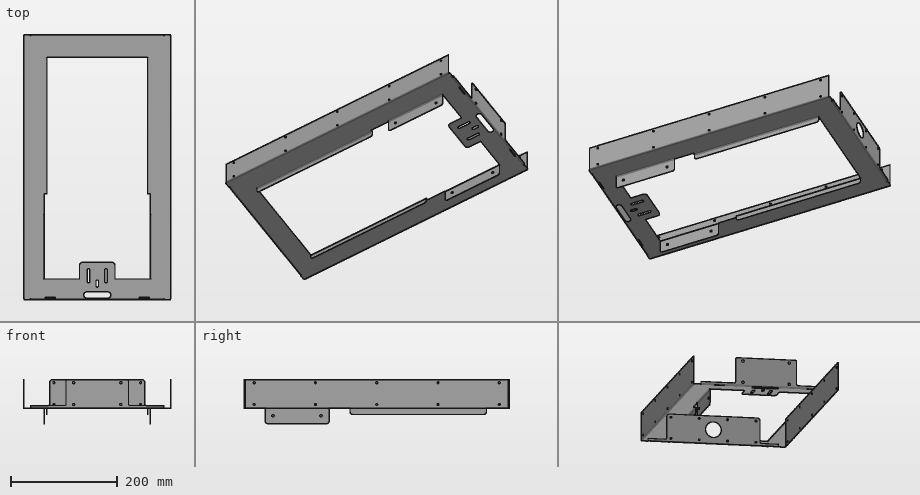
import cadquery as cq

sheet = 1.0
bend_inner = 0.6
bend_outer = bend_inner + sheet

width = 278.0
length = 498.0
wall_height = 54.5
total_height = 83.0
half_width = width / 2
half_length = length / 2

wall_end_gap = 2.0
wall_hole_diameter = 3.25
wall_hole_pitch = 115.0
wall_hole_count = 5

hole_edge = 6.0
hole_row_spacing = 41.0
upper_row = wall_height - hole_edge
lower_row = upper_row - hole_row_spacing
hole_rows = (lower_row, upper_row)

lip_width = 250.0
lip_height = 5.5
lip_root_radius = 3.0
relief_width = 0.5
relief_depth = 2.25
front_panel_width = 117.0
front_panel_radius = 3.0
front_hole_diameter = 4.25
front_hole_x = 44.5
back_panel_width = 179.0
back_panel_radius = 5.5
back_hole_diameter = 3.25
back_hole_pitch = 54.5
back_hole_count = 4
cable_hole_diameter = 30.0
cable_hole_z = 28.0

opening_back = 206.0
opening_step = -50.5
opening_front = -209.5
narrow_half_width = 94.0
wide_half_width = 99.0

shallow_depth = 11.5
deep_depth = total_height - wall_height
deep_flange_back = -89.0
flange_radius = 5.0
deep_hole_diameter = 4.25
deep_hole_z = -14.0
deep_hole_places = (-104.5, -194.5)

tab_width = 66.5
tab_end = -178.5
tab_radius = 6.0
slot_width = 4.5
long_slot_length = 26.5
long_slot_x = 16.5
long_slot_y = -204.0
short_slot_length = 13.5
short_slot_y = -218.5
handle_length = 51.0
handle_width = 11.5
handle_y = -240.0

floor_slot_length = 19.0
floor_slot_width = 2.0
floor_slot_x = 88.5
floor_slot_y = -245.5


def block(x_range, y_range, z_range):
    """Box spanning the given (low, high) ranges."""
    (x0, x1), (y0, y1), (z0, z1) = x_range, y_range, z_range
    return cq.Workplane("XY").box(x1 - x0, y1 - y0, z1 - z0, centered=False).translate((x0, y0, z0))


def bent_strip(height, strip_length):
    """Upright sheet whose outer face is X = 0, bent into the floor at Z = 0; it runs along Y from 0."""
    profile = (
        cq.Workplane("XZ")
        .moveTo(-bend_outer, 0)
        .radiusArc((0, bend_outer), -bend_outer)
        .lineTo(0, height)
        .lineTo(-sheet, height)
        .lineTo(-sheet, bend_outer)
        .radiusArc((-bend_outer, sheet), bend_inner)
        .close()
    )
    return profile.extrude(-strip_length)


def holes_along_x(places, diameter, reach):
    """Cylinders parallel to X at (y, z) places, crossing the whole reach either side of X = 0."""
    return cq.Workplane("YZ").pushPoints(places).circle(diameter / 2).extrude(reach, both=True)


def holes_along_y(places, diameter, y):
    """Short cylinders parallel to Y at (x, z) places, crossing an end panel near the given y."""
    return (
        cq.Workplane("XZ", origin=(0, y, 0))
        .pushPoints(places)
        .circle(diameter / 2)
        .extrude(2 * bend_outer, both=True)
    )


def row_grid(count, pitch):
    """Places of evenly pitched holes, centred on zero, in both hole rows."""
    first = -(count - 1) / 2
    return [((first + column) * pitch, z) for column in range(count) for z in hole_rows]


def both_sides(solid):
    """The solid joined with its mirror image across the YZ plane."""
    return solid.union(solid.mirror("YZ"))


def floor_outline():
    """Plain rectangular floor, stopping at the bends, with ledges beside the lips and bend reliefs."""
    edge_x = half_width - bend_outer
    edge_y = half_length - bend_outer
    plate = block((-edge_x, edge_x), (-edge_y, edge_y), (0, sheet))

    ledge_start = lip_width / 2 + relief_width
    for x_range in ((-edge_x, -ledge_start), (ledge_start, edge_x)):
        plate = plate.union(block(x_range, (-half_length, half_length), (0, sheet)))

    for x in (-ledge_start, lip_width / 2):
        for y in (-half_length, half_length - relief_depth):
            plate = plate.cut(block((x, x + relief_width), (y, y + relief_depth), (0, sheet)))
    return plate


def opening_cutter():
    """Stepped opening, widened where the bends of the hanging flanges fill the floor."""
    stretches = (
        (narrow_half_width, opening_step, opening_back),
        (wide_half_width, opening_front, opening_step),
        (narrow_half_width + bend_outer, opening_step, opening_back),
        (wide_half_width + bend_outer, opening_front, deep_flange_back),
    )
    cutter = cq.Workplane("XY")
    for half_span, y_front, y_back in stretches:
        cutter = cutter.union(block((-half_span, half_span), (y_front, y_back), (0, sheet)))
    return cutter


def mounting_tab():
    """Rounded tab reaching into the opening from its front edge."""
    tab = block((-tab_width / 2, tab_width / 2), (opening_front, tab_end), (0, sheet))
    return tab.edges("|Z and >Y").fillet(tab_radius)


def upright_slot(x, y, slot_length):
    """Cutter for a round-ended slot that runs along Y through the floor."""
    return cq.Workplane("XY").center(x, y).slot2D(slot_length, slot_width, 90).extrude(sheet)


def floor_plate():
    """Flat floor with the stepped opening, the tab and all slots."""
    plate = floor_outline().cut(opening_cutter()).union(mounting_tab())
    for x in (-long_slot_x, long_slot_x):
        plate = plate.cut(upright_slot(x, long_slot_y, long_slot_length))
    plate = plate.cut(upright_slot(0, short_slot_y, short_slot_length))

    handle = cq.Workplane("XY").center(0, handle_y).slot2D(handle_length, handle_width).extrude(sheet)
    narrow_slots = (
        cq.Workplane("XY")
        .pushPoints([(-floor_slot_x, floor_slot_y), (floor_slot_x, floor_slot_y)])
        .rect(floor_slot_length, floor_slot_width)
        .extrude(sheet)
    )
    return plate.cut(handle).cut(narrow_slots)


def side_walls():
    """The two long walls with their rows of holes."""
    wall_length = length - 2 * wall_end_gap
    wall = bent_strip(wall_height, wall_length).translate((half_width, -wall_length / 2, 0))
    places = row_grid(wall_hole_count, wall_hole_pitch)
    return both_sides(wall).cut(holes_along_x(places, wall_hole_diameter, width))


def end_panel(panel_width, corner_radius):
    """Low lip with a taller panel rising from its middle, at the +Y end."""
    strip = (
        bent_strip(wall_height, lip_width)
        .rotate((0, 0, 0), (0, 0, 1), 90)
        .translate((lip_width / 2, half_length, 0))
    )
    outline = (
        cq.Workplane("XZ", origin=(0, half_length, 0))
        .moveTo(-lip_width / 2, 0)
        .lineTo(lip_width / 2, 0)
        .lineTo(lip_width / 2, lip_height)
        .lineTo(panel_width / 2, lip_height)
        .lineTo(panel_width / 2, wall_height)
        .lineTo(-panel_width / 2, wall_height)
        .lineTo(-panel_width / 2, lip_height)
        .lineTo(-lip_width / 2, lip_height)
        .close()
        .extrude(bend_outer)
    )
    roots = cq.selectors.BoxSelector(
        (-panel_width / 2 - sheet, 0, lip_height - sheet),
        (panel_width / 2 + sheet, length, lip_height + sheet),
    )
    outline = outline.edges("|Y").edges(roots).fillet(lip_root_radius)
    outline = outline.edges("|Y and >Z").fillet(corner_radius)
    return strip.intersect(outline)


def front_end():
    """Narrow panel at the -Y end with four holes."""
    panel = end_panel(front_panel_width, front_panel_radius).mirror("XZ")
    places = [(x, z) for x in (-front_hole_x, front_hole_x) for z in hole_rows]
    return panel.cut(holes_along_y(places, front_hole_diameter, -half_length))


def back_end():
    """Wide panel at the +Y end with two rows of holes and a cable hole."""
    panel = end_panel(back_panel_width, back_panel_radius)
    places = row_grid(back_hole_count, back_hole_pitch)
    panel = panel.cut(holes_along_y(places, back_hole_diameter, half_length))
    return panel.cut(holes_along_y([(0, cable_hole_z)], cable_hole_diameter, half_length))


def hanging_flange(inner_x, y_front, y_back, depth):
    """Flange on the +X side of the opening, bent down from the floor and ending at Z = -depth."""
    strip = (
        bent_strip(depth + sheet, y_back - y_front)
        .mirror("XY")
        .mirror("YZ")
        .translate((inner_x, y_front, sheet))
    )
    return strip.edges("|X and <Z").fillet(flange_radius)


def opening_flanges():
    """Shallow flanges beside the narrow opening and deep, drilled ones beside the wide opening."""
    shallow = hanging_flange(narrow_half_width, opening_step, opening_back, shallow_depth)
    deep = hanging_flange(wide_half_width, opening_front, deep_flange_back, deep_depth)
    places = [(y, deep_hole_z) for y in deep_hole_places]
    deep = deep.cut(holes_along_x(places, deep_hole_diameter, width))
    return both_sides(shallow.union(deep))


result = floor_plate().union(side_walls()).union(front_end()).union(back_end()).union(opening_flanges())